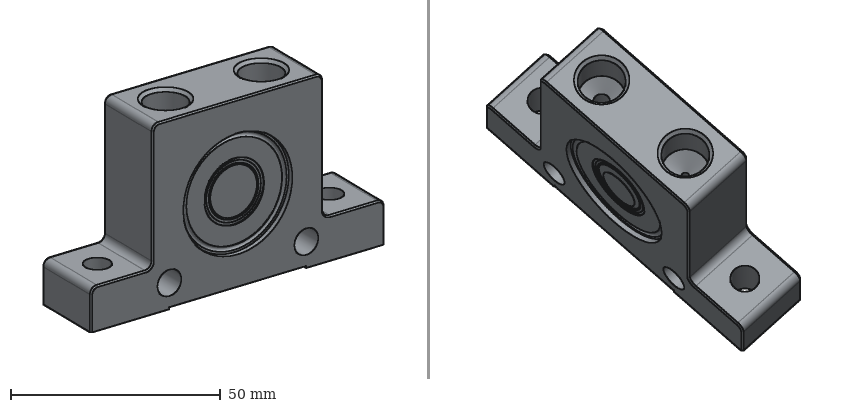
import cadquery as cq
import math

LENGTH = 86.0
WIDTH = 20.0
HEIGHT = 50.0
HOUSING_LENGTH = 50.0
FOOT_HEIGHT = 11.95
CORNER_RADIUS = 2.0
EDGE_CHAMFER = 0.4
RELIEF_LENGTH = 40.1
RELIEF_DEPTH = 0.5

MOUNT_DIAMETER = 7.0
FOOT_HOLE_Y = 34.0
CROSS_HOLE_Y = RELIEF_LENGTH / 2
CROSS_HOLE_Z = 7.0

PORT_Y = 14.0
PORT_DIAMETER = 11.4
PORT_MOUTH_DIAMETER = 13.25
PORT_MOUTH_DEPTH = 0.9
PORT_DEPTH = 9.0
DRILL_POINT_ANGLE = 118.0
INLET_DIAMETER = 1.9
OUTLET_DIAMETER = 4.0

CHAMBER_Z = HEIGHT / 2
CHAMBER_DIAMETER = 32.9
CHAMBER_WIDTH = 10.0
COVER_RECESS_DIAMETER = 31.9
COVER_RECESS_DEPTH = 1.5
GROOVE_OUTER_DIAMETER = 30.6
GROOVE_INNER_DIAMETER = 28.0

DISH_DIAMETER = 17.5
DISH_DEPTH = 0.35
STEP_HEIGHT = 0.1
PAD_DIAMETER = 16.0
RING_OUTER_DIAMETER = 14.5
RING_INNER_DIAMETER = 13.7
LABEL_DIAMETER = 10.5
LABEL_DROP = 1.3


def cylinder_x(diameter, x_start, depth, z=CHAMBER_Z, y=0.0):
    """Cylinder along +X, starting at x_start."""
    return (
        cq.Workplane("YZ", origin=(x_start, y, z))
        .circle(diameter / 2)
        .extrude(depth)
    )


def block():
    """Stepped body with rounded corners, chamfered side edges and a relieved base."""
    foot = cq.Workplane("XY").box(WIDTH, LENGTH, FOOT_HEIGHT, centered=(True, True, False))
    housing = cq.Workplane("XY").box(WIDTH, HOUSING_LENGTH, HEIGHT, centered=(True, True, False))
    body = foot.union(housing)
    above_base = cq.selectors.BoxSelector(
        (-WIDTH, -LENGTH, FOOT_HEIGHT / 2), (WIDTH, LENGTH, 2 * HEIGHT))
    body = body.edges("|X").edges(above_base).fillet(CORNER_RADIUS)
    for side in ("<X", ">X"):
        body = body.faces(side).edges("not <Z").chamfer(EDGE_CHAMFER)
    relief = cq.Workplane("XY").box(
        WIDTH, RELIEF_LENGTH, RELIEF_DEPTH, centered=(True, True, False))
    return body.cut(relief)


def mounting_holes():
    """Two vertical holes through the feet and two horizontal holes across the block."""
    holes = (
        cq.Workplane("XY")
        .pushPoints([(0, -FOOT_HOLE_Y), (0, FOOT_HOLE_Y)])
        .circle(MOUNT_DIAMETER / 2)
        .extrude(FOOT_HEIGHT)
    )
    for y in (-CROSS_HOLE_Y, CROSS_HOLE_Y):
        holes = holes.add(cylinder_x(MOUNT_DIAMETER, -WIDTH / 2, WIDTH, CROSS_HOLE_Z, y))
    return holes.combine()


def port_cut(y, bore_diameter):
    """Countersunk port with a drill-point bottom and a bore down into the chamber."""
    mouth_radius = PORT_MOUTH_DIAMETER / 2
    port_radius = PORT_DIAMETER / 2
    bore_radius = bore_diameter / 2
    shoulder_z = HEIGHT - PORT_DEPTH
    point_height = (port_radius - bore_radius) / math.tan(math.radians(DRILL_POINT_ANGLE / 2))
    return (
        cq.Workplane("XZ")
        .moveTo(0, HEIGHT)
        .lineTo(mouth_radius, HEIGHT)
        .lineTo(port_radius, HEIGHT - PORT_MOUTH_DEPTH)
        .lineTo(port_radius, shoulder_z)
        .lineTo(bore_radius, shoulder_z - point_height)
        .lineTo(bore_radius, CHAMBER_Z)
        .lineTo(0, CHAMBER_Z)
        .close()
        .revolve(360, (0, 0), (0, 1))
        .translate((0, y, 0))
    )


def cover_cut():
    """Everything removed from the -X side above and into the cover."""
    face_x = -WIDTH / 2
    cover_x = face_x + COVER_RECESS_DEPTH
    dish_x = cover_x + DISH_DEPTH
    pad_x = dish_x - STEP_HEIGHT

    recess = cylinder_x(COVER_RECESS_DIAMETER, face_x, COVER_RECESS_DEPTH)
    groove_radius = (GROOVE_OUTER_DIAMETER - GROOVE_INNER_DIAMETER) / 4
    groove_center_radius = (GROOVE_OUTER_DIAMETER + GROOVE_INNER_DIAMETER) / 4
    groove = cq.Workplane(cq.Solid.makeTorus(
        groove_center_radius, groove_radius, cq.Vector(cover_x, 0, CHAMBER_Z), cq.Vector(1, 0, 0)))

    dish = cylinder_x(DISH_DIAMETER, cover_x, DISH_DEPTH)
    pad = cylinder_x(PAD_DIAMETER, pad_x, STEP_HEIGHT)
    ring = cylinder_x(RING_OUTER_DIAMETER, pad_x, STEP_HEIGHT).cut(
        cylinder_x(RING_INNER_DIAMETER, pad_x, STEP_HEIGHT))
    return recess.union(groove).union(dish.cut(pad.cut(ring)))


def label():
    """Thin round label plate on the -X cover, set slightly below its centre."""
    pad_x = -WIDTH / 2 + COVER_RECESS_DEPTH + DISH_DEPTH - STEP_HEIGHT
    return cylinder_x(LABEL_DIAMETER, pad_x - STEP_HEIGHT, STEP_HEIGHT, CHAMBER_Z - LABEL_DROP)


cover_side = cover_cut()
result = (
    block()
    .cut(mounting_holes())
    .cut(cylinder_x(CHAMBER_DIAMETER, -CHAMBER_WIDTH / 2, CHAMBER_WIDTH))
    .cut(port_cut(-PORT_Y, INLET_DIAMETER))
    .cut(port_cut(PORT_Y, OUTLET_DIAMETER))
    .cut(cover_side)
    .cut(cover_side.mirror("YZ"))
    .union(label())
)